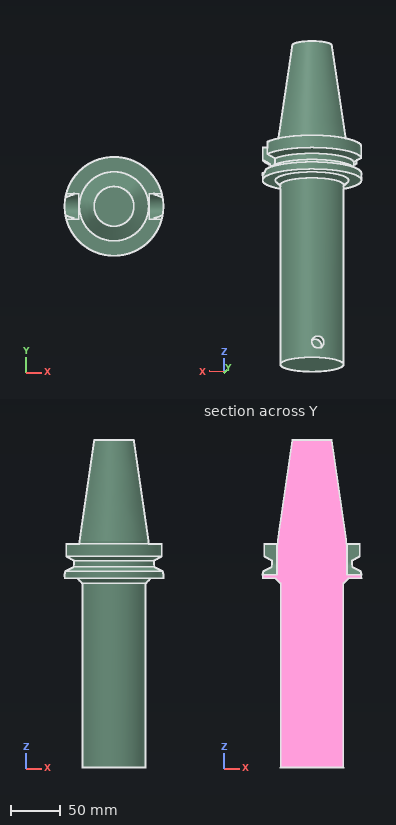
import cadquery as cq
import math


gauge_diameter = 69.85
taper_length = 101.8
taper_ratio = 7 / 24
small_end_diameter = gauge_diameter - taper_length * taper_ratio

flange_diameter = 100.0
flange_top_z = -3.0
flange_bottom_z = -38.0

groove_centre_z = -23.2
groove_floor_width = 6.3
groove_floor_diameter = 85.0
groove_wall_angle = 30.0

nose_diameter = 64.0
nose_end_z = -229.0
collar_height = 5.0

slot_width = 25.7
slot_floor_x = 35.4
slot_bottom_z = -34.0

screw_hole_diameter = 12.3
screw_hole_depth = 14.0
screw_hole_end_distance = 16.0
screw_hole_z = nose_end_z + screw_hole_end_distance


def turned_body():
    gauge_radius = gauge_diameter / 2
    flange_radius = flange_diameter / 2
    groove_radius = groove_floor_diameter / 2
    nose_radius = nose_diameter / 2

    half_floor = groove_floor_width / 2
    wall_height = (flange_radius - groove_radius) * math.tan(math.radians(groove_wall_angle))
    half_mouth = half_floor + wall_height

    return (
        cq.Workplane("XZ")
        .moveTo(0, taper_length)
        .lineTo(small_end_diameter / 2, taper_length)
        .lineTo(gauge_radius, 0)
        .lineTo(gauge_radius, flange_top_z)
        .lineTo(flange_radius, flange_top_z)
        .lineTo(flange_radius, groove_centre_z + half_mouth)
        .lineTo(groove_radius, groove_centre_z + half_floor)
        .lineTo(groove_radius, groove_centre_z - half_floor)
        .lineTo(flange_radius, groove_centre_z - half_mouth)
        .lineTo(flange_radius, flange_bottom_z)
        .lineTo(nose_radius + collar_height, flange_bottom_z)
        .lineTo(nose_radius, flange_bottom_z - collar_height)
        .lineTo(nose_radius, nose_end_z)
        .lineTo(0, nose_end_z)
        .close()
        .revolve(360, (0, 0, 0), (0, 1, 0))
    )


def drive_slot(side):
    """Cutter for a round-bottomed slot; side is +1 for +X and -1 for -X."""
    half_width = slot_width / 2
    arc_centre_z = slot_bottom_z + half_width
    return (
        cq.Workplane("YZ", origin=(side * slot_floor_x, 0, 0))
        .moveTo(-half_width, flange_top_z)
        .lineTo(-half_width, arc_centre_z)
        .threePointArc((0, slot_bottom_z), (half_width, arc_centre_z))
        .lineTo(half_width, flange_top_z)
        .close()
        .extrude(side * flange_diameter / 2)
    )


def screw_hole():
    """Cutter for the blind radial hole, running inward from the +Y side."""
    return (
        cq.Workplane("XZ", origin=(0, nose_diameter / 2, screw_hole_z))
        .circle(screw_hole_diameter / 2)
        .extrude(screw_hole_depth)
    )


result = turned_body()
for side in (1, -1):
    result = result.cut(drive_slot(side))
result = result.cut(screw_hole())